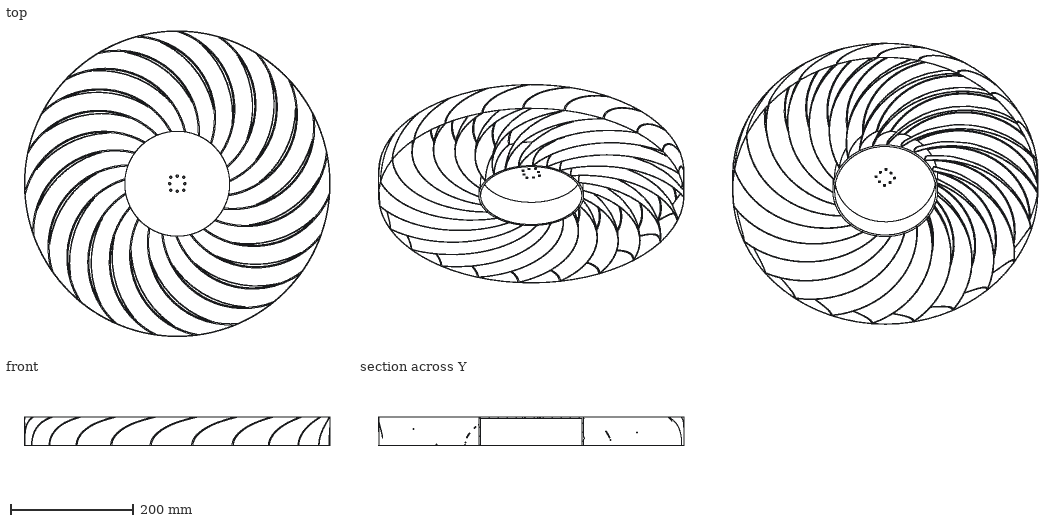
import cadquery as cq
import math

height = 47.36

rim_radius = 501.0 / 2
rim_wall = 0.5

hub_bore_radius = 166.0 / 2
hub_wall = 3.0
hub_radius = hub_bore_radius + hub_wall

hole_diameter = 3.2
holes_per_ring = 4
axis_ring_radius = 12.5
diagonal_ring_radius = 15.0
diagonal_start_angle = 45

blade_count = 23
blade_thickness = 1.0
station_radii = (hub_radius, 170.0, rim_radius)
bottom_angles = (-17.0, 12.3, 41.1)
top_angles = (3.0, 25.9, 58.6)

top_lean = math.radians(60)
section_count = 5

end_overrun = 2.0


def polar_point(radius, angle):
    """Point at a radius and an angle in radians."""
    return radius * math.cos(angle), radius * math.sin(angle)


def circle_through(first, second, third):
    """Center and radius of the circle through three points."""
    ax, ay = second[0] - first[0], second[1] - first[1]
    bx, by = third[0] - first[0], third[1] - first[1]
    a_squared = ax * ax + ay * ay
    b_squared = bx * bx + by * by
    determinant = 2 * (ax * by - ay * bx)
    dx = (by * a_squared - ay * b_squared) / determinant
    dy = (ax * b_squared - bx * a_squared) / determinant
    return (first[0] + dx, first[1] + dy), math.hypot(dx, dy)


def station_points(lean):
    """The three points of the blade center line where the profile has the given lean."""
    turn = (1 - math.cos(lean)) / (1 - math.cos(top_lean))
    points = []
    for radius, bottom, top in zip(station_radii, bottom_angles, top_angles):
        angle = bottom + (top - bottom) * turn
        points.append(polar_point(radius, math.radians(angle)))
    return points


def blade_section(rise):
    """Closed outline of the blade at a fraction `rise` of the height."""
    lean = math.asin(rise * math.sin(top_lean))
    points = station_points(lean)
    center, radius = circle_through(*points)

    start, end = (
        math.atan2(y - center[1], x - center[0]) for x, y in (points[0], points[-1])
    )
    sweep = math.remainder(end - start, 2 * math.pi)
    overrun = math.copysign(end_overrun / radius, sweep)
    start -= overrun
    sweep += 2 * overrun

    half_width = blade_thickness / math.cos(lean) / 2

    def point_on(arc_radius, fraction):
        x, y = polar_point(arc_radius, start + sweep * fraction)
        return cq.Vector(center[0] + x, center[1] + y, height * rise)

    inner = [point_on(radius - half_width, fraction) for fraction in (0, 0.5, 1)]
    outer = [point_on(radius + half_width, fraction) for fraction in (1, 0.5, 0)]
    return cq.Wire.assembleEdges([
        cq.Edge.makeThreePointArc(*inner),
        cq.Edge.makeLine(inner[-1], outer[0]),
        cq.Edge.makeThreePointArc(*outer),
        cq.Edge.makeLine(outer[-1], inner[0]),
    ])


def make_blade():
    sections = [blade_section(i / (section_count - 1)) for i in range(section_count)]
    blade = cq.Workplane(obj=cq.Solid.makeLoft(sections))
    passage = cq.Workplane().circle(rim_radius).circle(hub_radius).extrude(height)
    return blade.intersect(passage).val()


def make_hub():
    hub = cq.Workplane().circle(hub_radius).extrude(height)
    hub = hub.cut(cq.Workplane().circle(hub_bore_radius).extrude(height - hub_wall))
    rings = ((axis_ring_radius, 0), (diagonal_ring_radius, diagonal_start_angle))
    for ring_radius, start_angle in rings:
        centers = cq.Workplane().polarArray(ring_radius, start_angle, 360, holes_per_ring)
        hub = hub.cut(centers.circle(hole_diameter / 2).extrude(height))
    return hub.val()


def make_rim():
    return cq.Workplane().circle(rim_radius).circle(rim_radius - rim_wall).extrude(height).val()


first_blade = make_blade()
blade_pitch = 360 / blade_count
blades = [first_blade.rotate((0, 0, 0), (0, 0, 1), i * blade_pitch) for i in range(blade_count)]
wheel = make_hub().fuse(make_rim(), *blades)
result = cq.Workplane(obj=wheel.Solids()[0])